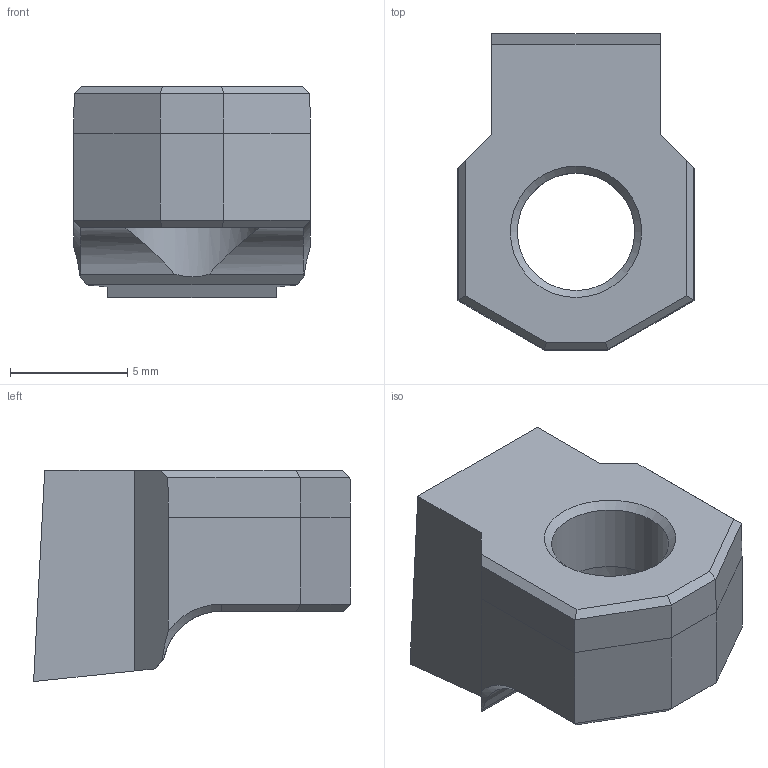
import cadquery as cq
import math

apothem = 5.04
top_apothem = 5.02
taper_depth = 2.0
height = 9.0
flange_depth = 6.0
facet_angle = 30.0

tail_half_width = 3.6
overall_length = 13.5
back_tilt = 3.0
floor_tilt = 6.0
shoulder_sum = 7.76

relief_radius = 2.5
relief_start_y = 0.46
toe_y = 3.27
toe_top_z = -8.0

hole_radius = 2.5
bore_depth = 3.25
flare_radius = 2.7
clearance_radius = 3.0
edge_chamfer = 0.3

tolerance = 0.001

back_bottom_y = overall_length - apothem
back_top_y = back_bottom_y - height * math.tan(math.radians(back_tilt))


def plan_outline(head_apothem, z):
    """Closed outline of the head and tail at level z."""
    facet_half_width = head_apothem * math.tan(math.radians(facet_angle / 2))
    side_front_y = -head_apothem * math.tan(math.radians(facet_angle))
    shoulder_y = shoulder_sum - head_apothem
    right_half = [
        (facet_half_width, -head_apothem),
        (head_apothem, side_front_y),
        (head_apothem, shoulder_y),
        (tail_half_width, shoulder_sum - tail_half_width),
        (tail_half_width, back_bottom_y),
    ]
    left_half = [(-x, y) for x, y in reversed(right_half)]
    points = [cq.Vector(x, y, z) for x, y in right_half + left_half]
    return cq.Wire.makePolygon(points, close=True)


def plan_prism():
    """Plan outline of the part: vertical walls, with the head tapering in near the top."""
    lower_outline = plan_outline(apothem, -height)
    lower = cq.Solid.extrudeLinear(lower_outline, [], cq.Vector(0, 0, height - taper_depth))
    waist = plan_outline(apothem, -taper_depth)
    top = plan_outline(top_apothem, 0)
    upper = cq.Solid.makeLoft([waist, top], True)
    return cq.Workplane(lower).union(cq.Workplane(upper))


def side_prism():
    """Prism along X with the side profile: flange, relief arc, toe and tail."""
    arc_center_z = -flange_depth - relief_radius
    toe_z = -height + (back_bottom_y - toe_y) * math.tan(math.radians(floor_tilt))
    arc_end_angle = math.asin((toe_top_z - arc_center_z) / relief_radius)
    arc_mid_angle = (math.pi / 2 + arc_end_angle) / 2

    def on_arc(angle):
        return (
            relief_start_y + relief_radius * math.cos(angle),
            arc_center_z + relief_radius * math.sin(angle),
        )

    return (
        cq.Workplane("YZ")
        .moveTo(-apothem, 0)
        .lineTo(back_top_y, 0)
        .lineTo(back_bottom_y, -height)
        .lineTo(toe_y, toe_z)
        .lineTo(*on_arc(arc_end_angle))
        .threePointArc(on_arc(arc_mid_angle), (relief_start_y, -flange_depth))
        .lineTo(-apothem, -flange_depth)
        .close()
        .extrude(apothem, both=True)
    )


def head_rims(body):
    """Top and underside edges around the head, relief arcs included."""
    front_facets_y = -apothem / 2
    rims = []
    for edge in body.edges().vals():
        middle = edge.Center()
        on_side = abs(middle.x) > top_apothem - tolerance
        on_front = middle.y < front_facets_y
        on_top = abs(middle.z) < tolerance
        on_underside = middle.z < tolerance - flange_depth
        if (on_side or on_front) and (on_top or on_underside):
            rims.append(edge)
    return rims


def frustum(bottom_z, bottom_radius, top_z, top_radius):
    """Cone frustum on the hole axis."""
    base = cq.Vector(0, 0, bottom_z)
    return cq.Workplane(cq.Solid.makeCone(bottom_radius, top_radius, top_z - bottom_z, base))


def hole_cutter():
    """Through hole: chamfered mouth, straight bore, then a flare to the clearance."""
    bore = cq.Workplane("XY").circle(hole_radius).extrude(-flange_depth)
    mouth = frustum(-edge_chamfer, hole_radius, 0, hole_radius + edge_chamfer)
    flare = frustum(-flange_depth, flare_radius, -bore_depth, hole_radius)
    return bore.union(mouth).union(flare)


def clearance_cutter():
    """Round clearance under the head, coaxial with the hole."""
    return (
        cq.Workplane("XY")
        .workplane(offset=-height)
        .circle(clearance_radius)
        .extrude(height - flange_depth)
    )


body = plan_prism().intersect(side_prism())
body = body.newObject(head_rims(body)).chamfer(edge_chamfer)
result = body.cut(hole_cutter()).cut(clearance_cutter())